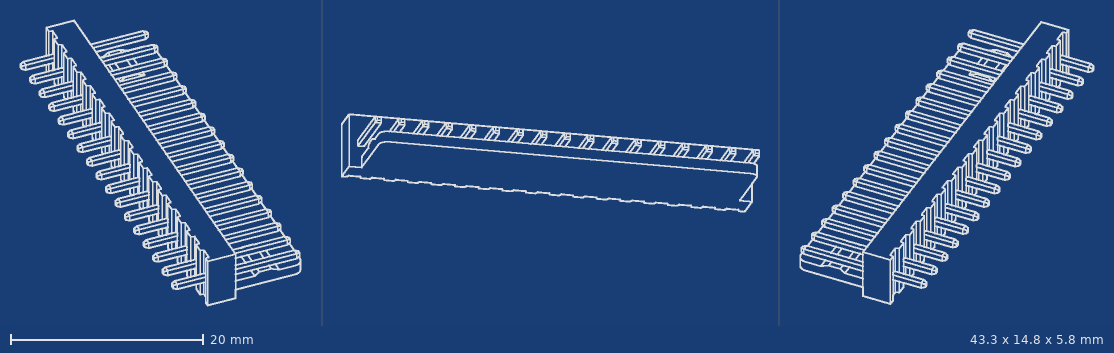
import cadquery as cq

pin_count = 17
pin_row_length = 40.6
pin_row_offset = 0.065
housing_length = 43.3
housing_depth = 3.15
housing_height = 5.8

pin_size = 0.65
pin_center_height = 2.7
pin_front_reach = 3.4
pin_back_reach = 7.7
pin_tip_length = 0.4
pin_tip_inset = 0.15

groove_depth = 0.4
groove_mouth_width = 1.5
groove_floor_width = 1.25

shelf_depth = 8.23
shelf_thickness = 1.15
shelf_corner_radius = 0.95

bump_height = 0.4
bump_length = 4.6
bump_base_front = 2.73
bump_crest_front = 3.25
bump_crest_back = 4.6
bump_base_back = 5.5

pin_pitch = pin_row_length / (pin_count - 1)
first_pin_x = pin_row_offset - pin_row_length / 2
pin_positions = [first_pin_x + i * pin_pitch for i in range(pin_count)]
shelf_length = pin_row_length


def make_housing():
    """Upright bar along X, extending back from the plane Y = 0."""
    return cq.Workplane("XY").box(
        housing_length, housing_depth, housing_height, centered=(True, False, False)
    )


def make_groove(x):
    """Vertical trapezoidal groove cut into the housing front around one pin."""
    return (
        cq.Workplane("XY")
        .polyline([
            (x - groove_mouth_width / 2, 0),
            (x + groove_mouth_width / 2, 0),
            (x + groove_floor_width / 2, groove_depth),
            (x - groove_floor_width / 2, groove_depth),
        ])
        .close()
        .extrude(housing_height)
    )


def make_shelf():
    """Flat plate behind the housing with its two back corners rounded."""
    return (
        cq.Workplane("XY")
        .box(shelf_length, shelf_depth, shelf_thickness, centered=(True, False, False))
        .translate((0, housing_depth, 0))
        .edges("|Z and >Y")
        .fillet(shelf_corner_radius)
    )


def make_bump(x_start):
    """Locking ridge on top of the shelf, running along X from x_start."""
    crest_height = shelf_thickness + bump_height
    return (
        cq.Workplane("YZ")
        .polyline([
            (housing_depth + bump_base_front, shelf_thickness),
            (housing_depth + bump_crest_front, crest_height),
            (housing_depth + bump_crest_back, crest_height),
            (housing_depth + bump_base_back, shelf_thickness),
        ])
        .close()
        .extrude(bump_length)
        .translate((x_start, 0, 0))
    )


def make_pin_tip(x, y_base, direction):
    """Tapered pin end growing from y_base; direction is +1 or -1 along Y."""
    tip_size = pin_size - 2 * pin_tip_inset
    base_plane = cq.Plane((x, y_base, pin_center_height), xDir=(1, 0, 0), normal=(0, direction, 0))
    return (
        cq.Workplane(base_plane)
        .rect(pin_size, pin_size)
        .workplane(offset=pin_tip_length)
        .rect(tip_size, tip_size)
        .loft()
    )


def make_pin(x):
    """Square pin passing through the housing, tapered at both ends."""
    front = pin_tip_length - pin_front_reach
    back = housing_depth + pin_back_reach - pin_tip_length
    shank = cq.Workplane("XY").box(pin_size, back - front, pin_size).translate(
        (x, (front + back) / 2, pin_center_height)
    )
    return shank.union(make_pin_tip(x, front, -1)).union(make_pin_tip(x, back, 1))


result = make_housing()
for pin_x in pin_positions:
    result = result.cut(make_groove(pin_x))

result = result.union(make_shelf())
for bump_x in (-shelf_length / 2, shelf_length / 2 - bump_length):
    result = result.union(make_bump(bump_x))

for pin_x in pin_positions:
    result = result.union(make_pin(pin_x))